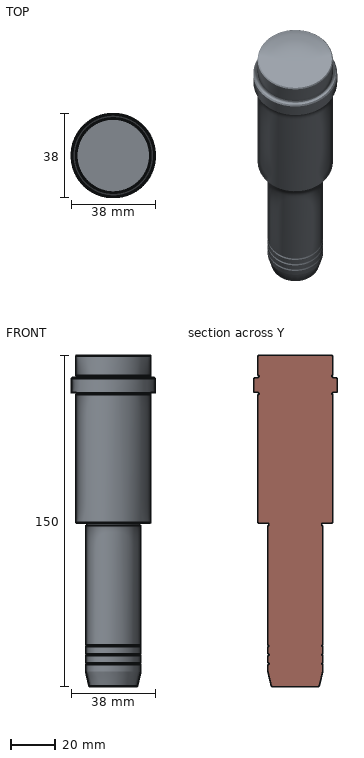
import cadquery as cq

total_height = 150.0
collar_diameter = 38.0
body_diameter = 34.0
pin_diameter = 25.0

body_bottom = 74.0
collar_bottom = 133.0
collar_top = 140.0

taper_height = 7.0
tip_diameter = 21.8

body_chamfer = 0.5
collar_chamfer = 0.6
tip_chamfer = 0.5

groove_width = 1.0
groove_depth = groove_width / 2
ring_count = 3
ring_pitch = 4.0
lowest_ring_height = 10.5

pin_relief_width = 1.0
pin_relief_depth = 0.5


def cylinder(diameter, bottom, top):
    """Vertical cylinder between two heights."""
    return cq.Workplane("XY").workplane(offset=bottom).circle(diameter / 2).extrude(top - bottom)


def v_ring(diameter, middle):
    """Ring of triangular section that cuts a V groove into a shaft at the given height."""
    radius = diameter / 2
    section = [
        (radius, middle - groove_width / 2),
        (radius - groove_depth, middle),
        (radius, middle + groove_width / 2),
    ]
    return cq.Workplane("XZ").polyline(section).close().revolve(360, (0, 0, 0), (0, 1, 0))


tip = (
    cq.Workplane("XY")
    .circle(tip_diameter / 2)
    .workplane(offset=taper_height)
    .circle(pin_diameter / 2)
    .loft()
    .faces("<Z")
    .chamfer(tip_chamfer)
)
pin_relief_bottom = body_bottom - pin_relief_width
pin_neck = cylinder(pin_diameter - 2 * pin_relief_depth, pin_relief_bottom, body_bottom)
pin = cylinder(pin_diameter, taper_height, pin_relief_bottom).union(pin_neck)
for index in range(ring_count):
    pin = pin.cut(v_ring(pin_diameter, lowest_ring_height + index * ring_pitch))

body = cylinder(body_diameter, body_bottom, total_height).faces("<Z or >Z").chamfer(body_chamfer)
for relief_middle in (collar_bottom - groove_width / 2, collar_top + groove_width / 2):
    body = body.cut(v_ring(body_diameter, relief_middle))

collar = cylinder(collar_diameter, collar_bottom, collar_top).faces(">Z").chamfer(collar_chamfer)

result = tip.union(pin).union(body).union(collar)